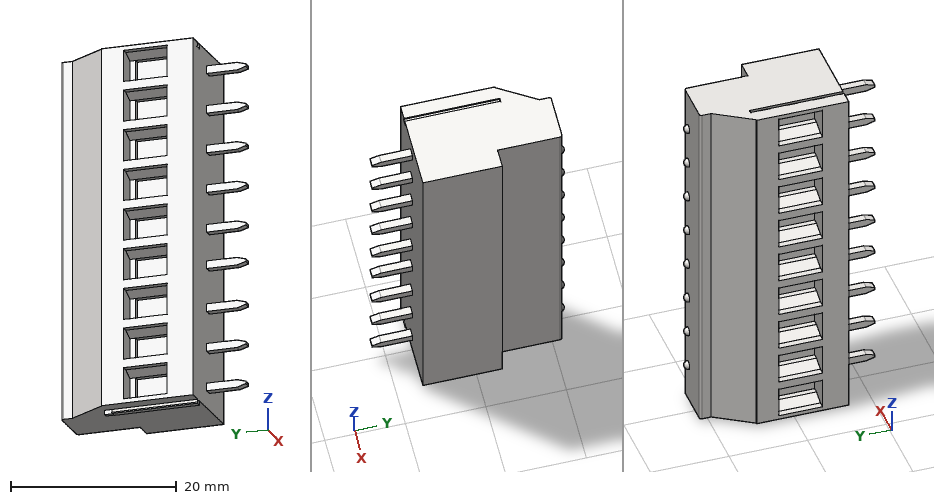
import cadquery as cq


total_height = 46.3
rail_height = 0.55
pole_count = 9
housing_height = total_height - rail_height
pole_pitch = housing_height / pole_count
housing_width = 11.2
housing_length = 17.93
ledge_y = 11.65
ledge_width = 0.15
bevel_start_y = 11.75
bevel_end_y = 16.5
upper_left_x = 3.05
upper_right_x = 8.85
step_y = 9.85
left_corner_radius = 0.3
right_corner_radius = 0.32

window_near_y = 3.35
window_far_y = 8.9
window_height = 4.0
window_lip_depth = 0.85
window_depth = 2.3
window_inset = 0.6
inner_far_y = 8.15
inner_depth = 0.7

pin_x = 5.45
pin_width = 1.0
pin_thickness = 0.95
pin_length = 5.0
pin_taper_length = 1.1
pin_tip_thickness = 0.32
pin_offset = 0.15
shifted_pin = 3
pin_shift = 0.4

joint_x = 1.95
joint_length = 11.9
rail_neck_width = 0.5
rail_wide_width = 0.85
rail_wide_depth = 0.4
rail_tip_width = 0.75
rail_end_length = 0.95
slot_neck_width = 0.4
slot_floor_width = 0.9
slot_depth = 0.6

dome_x = 7.45
dome_radius = 0.55


def pole_center_z(pole):
    """Mid-height of a pole, counted from the bottom."""
    return (pole + 0.5) * pole_pitch


def make_housing():
    return (
        cq.Workplane("XY")
        .moveTo(0, 0)
        .lineTo(housing_width, 0)
        .lineTo(housing_width, step_y)
        .lineTo(upper_right_x, step_y)
        .lineTo(upper_right_x, housing_length)
        .lineTo(upper_left_x, housing_length)
        .lineTo(upper_left_x, bevel_end_y)
        .lineTo(ledge_width, bevel_start_y)
        .lineTo(0, ledge_y)
        .close()
        .extrude(housing_height)
        .faces(">Y")
        .edges("|Z and <X")
        .fillet(left_corner_radius)
        .faces(">Y")
        .edges("|Z and >X")
        .fillet(right_corner_radius)
    )


def along_y(outline, start_y, end_y, center_z):
    """Extrude an outline of (x, z) points from start_y to end_y."""
    plane = cq.Workplane("XZ", origin=(0, start_y, center_z))
    return plane.polyline(outline).close().extrude(start_y - end_y)


def make_window(center_z):
    """Rectangular mouth with ramped floor and ceiling, then a smaller recess."""
    outer = window_height / 2
    inner = outer - window_inset
    mouth_outline = [
        (0, -outer),
        (window_lip_depth, -outer),
        (window_depth, -inner),
        (window_depth, inner),
        (window_lip_depth, outer),
        (0, outer),
    ]
    mouth = along_y(mouth_outline, window_near_y, window_far_y, center_z)
    recess_end = window_depth + inner_depth
    recess_outline = [(0, -inner), (recess_end, -inner), (recess_end, inner), (0, inner)]
    recess = along_y(recess_outline, window_near_y, inner_far_y, center_z)
    return mouth.union(recess)


def make_pin(center_z):
    """Flat pin whose thickness tapers towards the tip."""
    half = pin_thickness / 2
    half_tip = pin_tip_thickness / 2
    taper_y = pin_taper_length - pin_length
    return (
        cq.Workplane("YZ", origin=(pin_x, 0, center_z))
        .polyline([
            (0, -half),
            (taper_y, -half),
            (-pin_length, -half_tip),
            (-pin_length, half_tip),
            (taper_y, half),
            (0, half),
        ])
        .close()
        .extrude(pin_width / 2, both=True)
    )


def joint_bar(levels, length, top_z):
    """Symmetric bar from Y = 0 along the joint, given (width, depth) levels below top_z."""
    left = [(joint_x - width / 2, -depth) for width, depth in levels]
    right = [(joint_x + width / 2, -depth) for width, depth in reversed(levels)]
    return along_y(left + right, 0, length, top_z)


def make_rail():
    """Flared rail under the housing, ending in a straight-sided nose."""
    nose_section = [(rail_neck_width, 0), (rail_neck_width, rail_height)]
    flared_section = [
        (rail_neck_width, 0),
        (rail_wide_width, rail_wide_depth),
        (rail_tip_width, rail_height),
    ]
    nose = joint_bar(nose_section, joint_length, 0)
    flared = joint_bar(flared_section, joint_length - rail_end_length, 0)
    return nose.union(flared)


def make_slot():
    """Dovetail slot in the top of the housing that receives a neighbour's rail."""
    section = [(slot_neck_width, 0), (slot_floor_width, slot_depth)]
    return joint_bar(section, joint_length, housing_height)


def make_dome(center_z):
    center = (dome_x, housing_length, center_z)
    return cq.Workplane("XY").sphere(dome_radius).translate(center)


result = make_housing().cut(make_slot()).union(make_rail())

for pole in range(pole_count):
    center_z = pole_center_z(pole)
    result = result.cut(make_window(center_z))
    pin_z = center_z + pin_offset
    if pole == shifted_pin:
        pin_z += pin_shift
    result = result.union(make_pin(pin_z))

for gap in range(1, pole_count):
    result = result.union(make_dome(gap * pole_pitch))